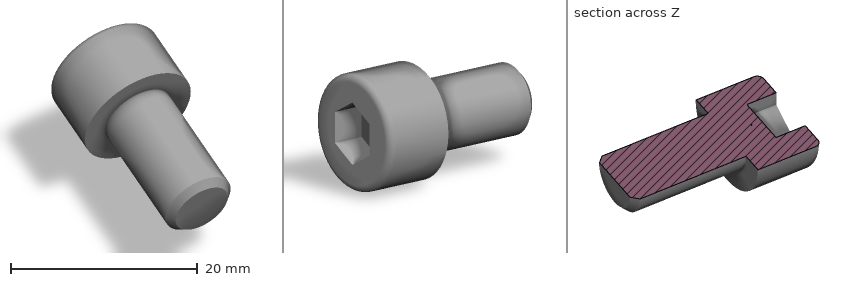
import cadquery as cq
import math

total_length = 22.0
head_diameter = 13.0
shank_diameter = 8.0
head_length = 7.99
head_fillet = 0.8
tip_chamfer = 0.8
socket_across_flats = 6.03
socket_depth = 3.65

head_face_x = -total_length / 2


def cylinder_along_x(diameter, start_x, length):
    return (
        cq.Workplane("YZ", origin=(start_x, 0, 0))
        .circle(diameter / 2)
        .extrude(length)
    )


def hex_socket():
    """Hexagonal prism with two corners on the Z axis and two flats facing Y."""
    across_corners = socket_across_flats / math.cos(math.pi / 6)
    return (
        cq.Workplane("YZ", origin=(head_face_x, 0, 0))
        .transformed(rotate=(0, 0, 90))
        .polygon(6, across_corners)
        .extrude(socket_depth)
    )


head = cylinder_along_x(head_diameter, head_face_x, head_length)
head = head.faces("<X").edges().fillet(head_fillet)

shank_length = total_length - head_length
shank = cylinder_along_x(shank_diameter, head_face_x + head_length, shank_length)
shank = shank.faces(">X").edges().chamfer(tip_chamfer)

result = head.union(shank).cut(hex_socket())